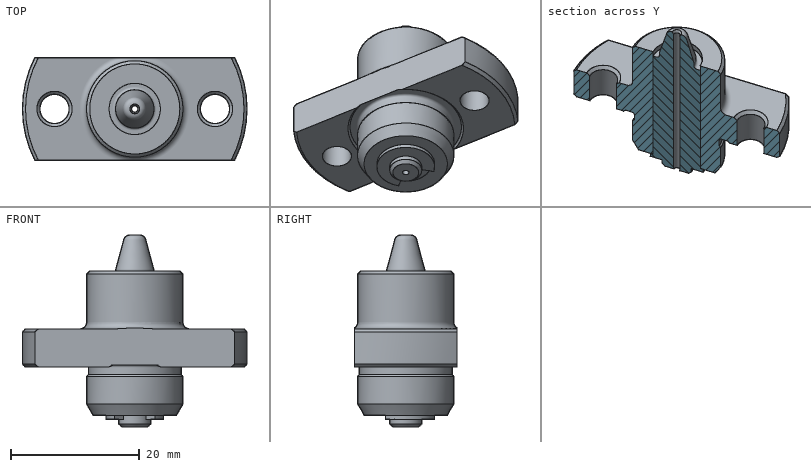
import cadquery as cq
import math


bore_d = 7.98
edge_chamfer = 0.5

flange_d = 35.0
flange_width = 16.0
flange_height = 6.0
screw_spacing = 25.0
screw_hole_d = 4.5
countersink_angle = 90.0

barrel_d = 15.0
barrel_top = 15.0
barrel_fillet = 1.0
nose_bottom = -7.5
nose_taper_width = 1.0
nose_taper_angle = 30.0

undercut_d = 14.5
undercut_bottom = -1.15
undercut_face_depth = 0.3
undercut_face_d = 18.0
undercut_fillet = 0.4

insert_top = 20.6
core_top = 14.07
tip_d = 6.0
tip_root_fillet = 0.42
cone_bottom = 15.15
cone_angle = 15.0
tip_rounding = 1.0

hole_d = 0.98
mouth_angle = 30.0

ring_d = 9.0
ring_thickness = 0.63
notch_angle = 90.0
tail_d = 5.0
insert_bottom = -9.3


def turned(outline):
    """Turn a closed (radius, height) outline around Z."""
    return outline.close().revolve(360, (0, 0, 0), (0, 1, 0))


def make_housing():
    flange_r = flange_d / 2
    barrel_r = barrel_d / 2
    undercut_r = undercut_d / 2
    undercut_face_r = undercut_face_d / 2
    nose_taper_height = nose_taper_width / math.tan(math.radians(nose_taper_angle))

    outline = (
        cq.Workplane("XZ")
        .moveTo(bore_d / 2, nose_bottom)
        .lineTo(barrel_r - nose_taper_width, nose_bottom)
        .lineTo(barrel_r, nose_bottom + nose_taper_height)
        .lineTo(barrel_r, undercut_bottom - (barrel_r - undercut_r))
        .lineTo(undercut_r, undercut_bottom)
        .lineTo(undercut_r, undercut_face_depth - undercut_fillet)
        .radiusArc((undercut_r + undercut_fillet, undercut_face_depth), undercut_fillet)
        .lineTo(undercut_face_r - undercut_face_depth, undercut_face_depth)
        .lineTo(undercut_face_r, 0)
        .lineTo(flange_r - edge_chamfer, 0)
        .lineTo(flange_r, edge_chamfer)
        .lineTo(flange_r, flange_height - edge_chamfer)
        .lineTo(flange_r - edge_chamfer, flange_height)
        .lineTo(barrel_r + barrel_fillet, flange_height)
        .radiusArc((barrel_r, flange_height + barrel_fillet), barrel_fillet)
        .lineTo(barrel_r, barrel_top - edge_chamfer)
        .lineTo(barrel_r - edge_chamfer, barrel_top)
        .lineTo(bore_d / 2, barrel_top)
    )
    flats = (
        cq.Workplane("XY", origin=(0, 0, nose_bottom))
        .rect(flange_d, flange_width)
        .extrude(barrel_top - nose_bottom)
    )
    housing = turned(outline).intersect(flats)

    return (
        housing.copyWorkplane(cq.Workplane("XY", origin=(0, 0, flange_height)))
        .pushPoints([(-screw_spacing / 2, 0), (screw_spacing / 2, 0)])
        .cskHole(screw_hole_d, screw_hole_d + 2 * edge_chamfer, countersink_angle)
        .solids()
    )


def make_ring_notch(ring_bottom):
    """Sector open toward -Y, cut out of the key ring down to the tail diameter."""
    section = (
        cq.Workplane("XZ", origin=(0, 0, ring_bottom))
        .moveTo(tail_d / 2, 0)
        .lineTo(ring_d, 0)
        .lineTo(ring_d, ring_thickness)
        .lineTo(tail_d / 2, ring_thickness)
        .close()
    )
    sector = section.revolve(notch_angle, (0, 0, 0), (0, 1, 0))
    return sector.rotate((0, 0, 0), (0, 0, 1), -90 - notch_angle / 2)


def make_insert():
    core_r = bore_d / 2
    tip_r = tip_d / 2
    tail_r = tail_d / 2
    hole_r = hole_d / 2
    ring_bottom = nose_bottom - ring_thickness
    slope = math.radians(cone_angle)

    cone_top = insert_top - tip_rounding * (1 - math.sin(slope))
    cone_top_r = tip_r - (cone_top - cone_bottom) * math.tan(slope)
    mouth_r = cone_top_r - tip_rounding * math.cos(slope)
    mouth_depth = (mouth_r - hole_r) / math.tan(math.radians(mouth_angle))

    outline = (
        cq.Workplane("XZ")
        .moveTo(hole_r, insert_bottom)
        .lineTo(tail_r - edge_chamfer, insert_bottom)
        .lineTo(tail_r, insert_bottom + edge_chamfer)
        .lineTo(tail_r, ring_bottom)
        .lineTo(ring_d / 2, ring_bottom)
        .lineTo(ring_d / 2, nose_bottom)
        .lineTo(core_r, nose_bottom)
        .lineTo(core_r, core_top)
        .lineTo(tip_r + tip_root_fillet, core_top)
        .radiusArc((tip_r, core_top + tip_root_fillet), tip_root_fillet)
        .lineTo(tip_r, cone_bottom)
        .lineTo(cone_top_r, cone_top)
        .radiusArc((mouth_r, insert_top), -tip_rounding)
        .lineTo(hole_r, insert_top - mouth_depth)
    )
    return turned(outline).cut(make_ring_notch(ring_bottom), clean=False).solids()


housing = make_housing()
insert = make_insert()

result = cq.Compound.makeCompound([housing.val(), insert.val()])